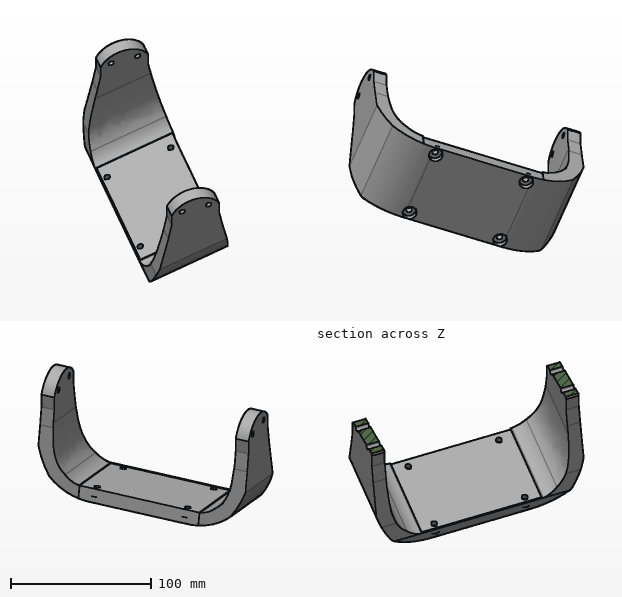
import math

import cadquery as cq

WIDTH = 160.0
HEIGHT = 100.96

ARM_THICKNESS = 10.0
HEAD_RADIUS = 20.0
HEAD_HALF_WIDTH = 18.1
EAR_HOLE_DIAMETER = 4.0
EAR_HOLE_OFFSET_Y = 10.0
EAR_HOLE_Z = 10.0

NECK_END_Z = -1.8
SHOULDER_Z = -15.6
SHOULDER_HALF_WIDTH = 20.6
FLANK_ANGLE = 12.0
FRONT_FLANK_END_Z = -54.3

TILT = 15.4
BASE_LENGTH = 60.56
BASE_THICKNESS = 11.0
FRONT_BOTTOM_Y = -27.7
FRONT_BOTTOM_Z = HEAD_RADIUS - HEIGHT

OUTER_FLAT_HALF = 38.0
OUTER_CORNER_RADIUS = 46.4
OUTER_JOINT_X = 69.8
OUTER_MID = (75.8, 22.9)
OUTER_ARM_START = 34.0

INNER_FLAT_HALF = 47.3
INNER_MID = (53.4, 13.2)
INNER_JOINT = (58.0, 16.7)
INNER_CURVE_POINTS = [(64.7, 24.4), (68.1, 34.0)]
INNER_ARM_START = 54.0

SEAT_HALF_WIDTH = 46.3
SEAT_FRONT_LIP = 1.0
SEAT_DEPTH = 0.4

BASE_HOLE_DIAMETER = 4.2
BASE_HOLE_HALF_SPACING = 35.0
BASE_HOLE_MARGIN = 5.0
BASE_HOLE_PITCH = 50.0
COUNTERBORE_DIAMETER = 10.0
COUNTERBORE_DEPTH = 4.5

CLEARANCE = 20.0


def base_frame():
    """Plane across the front bottom edge: X across, Y up the base normal, normal toward the front."""
    tilt = math.radians(TILT)
    return cq.Plane(
        origin=(0, FRONT_BOTTOM_Y, FRONT_BOTTOM_Z),
        xDir=(1, 0, 0),
        normal=(0, -math.cos(tilt), -math.sin(tilt)),
    )


def side_point(along, up):
    """(Y, Z) of a point given along the base from its front edge and up its normal."""
    tilt = math.radians(TILT)
    y = FRONT_BOTTOM_Y + along * math.cos(tilt) - up * math.sin(tilt)
    z = FRONT_BOTTOM_Z + along * math.sin(tilt) + up * math.cos(tilt)
    return (y, z)


def side_outline():
    """Side silhouette extruded over the whole width."""
    head_z = math.sqrt(HEAD_RADIUS**2 - HEAD_HALF_WIDTH**2)
    slope = math.tan(math.radians(FLANK_ANGLE))
    front_flank_y = -SHOULDER_HALF_WIDTH - slope * (SHOULDER_Z - FRONT_FLANK_END_Z)
    return (
        cq.Workplane("YZ")
        .moveTo(-HEAD_HALF_WIDTH, head_z)
        .threePointArc((0, HEAD_RADIUS), (HEAD_HALF_WIDTH, head_z))
        .lineTo(HEAD_HALF_WIDTH, NECK_END_Z)
        .lineTo(SHOULDER_HALF_WIDTH, SHOULDER_Z)
        .lineTo(*side_point(BASE_LENGTH, 0))
        .lineTo(*side_point(0, 0))
        .lineTo(*side_point(0, BASE_THICKNESS))
        .lineTo(front_flank_y, FRONT_FLANK_END_Z)
        .lineTo(-SHOULDER_HALF_WIDTH, SHOULDER_Z)
        .lineTo(-HEAD_HALF_WIDTH, NECK_END_Z)
        .close()
        .extrude(WIDTH / 2, both=True)
    )


def mirrored(point):
    """The same section point on the -X side."""
    return (-point[0], point[1])


def u_section():
    """U section swept along the tilted base, longer than the part at both ends."""
    top = 2 * HEIGHT
    outer_half = WIDTH / 2
    inner_half = outer_half - ARM_THICKNESS
    reach = OUTER_JOINT_X - OUTER_FLAT_HALF
    joint_height = OUTER_CORNER_RADIUS - math.sqrt(OUTER_CORNER_RADIUS**2 - reach**2)
    outer_joint = (OUTER_JOINT_X, joint_height)
    outer_end = (outer_half, OUTER_ARM_START)
    inner_start = (INNER_FLAT_HALF, BASE_THICKNESS)
    inner_end = (inner_half, INNER_ARM_START)
    outer_flat = (OUTER_FLAT_HALF, 0)

    section = (
        cq.Workplane(base_frame())
        .moveTo(*mirrored(outer_flat))
        .lineTo(*outer_flat)
        .radiusArc(outer_joint, -OUTER_CORNER_RADIUS)
        .threePointArc(OUTER_MID, outer_end)
        .lineTo(outer_half, top)
        .lineTo(inner_half, top)
        .lineTo(*inner_end)
        .spline([*reversed(INNER_CURVE_POINTS), INNER_JOINT], includeCurrent=True)
        .threePointArc(INNER_MID, inner_start)
        .lineTo(*mirrored(inner_start))
        .threePointArc(mirrored(INNER_MID), mirrored(INNER_JOINT))
        .spline([mirrored(p) for p in INNER_CURVE_POINTS] + [mirrored(inner_end)], includeCurrent=True)
        .lineTo(-inner_half, top)
        .lineTo(-outer_half, top)
        .lineTo(*mirrored(outer_end))
        .threePointArc(mirrored(OUTER_MID), mirrored(outer_joint))
        .radiusArc(mirrored(outer_flat), -OUTER_CORNER_RADIUS)
        .close()
    )
    return section.extrude(HEIGHT, both=True)


def ear_holes():
    """Two holes through each arm head, along X."""
    return (
        cq.Workplane("YZ")
        .pushPoints([(-EAR_HOLE_OFFSET_Y, EAR_HOLE_Z), (EAR_HOLE_OFFSET_Y, EAR_HOLE_Z)])
        .circle(EAR_HOLE_DIAMETER / 2)
        .extrude(WIDTH, both=True)
    )


def underside_plane():
    """Plane on the base underside: X across, Y along the base from its front edge."""
    return base_frame().rotated((-90, 0, 0))


def seat():
    """Shallow rectangular seat in the base top."""
    length = BASE_LENGTH + CLEARANCE - SEAT_FRONT_LIP
    return (
        cq.Workplane(underside_plane())
        .workplane(offset=BASE_THICKNESS - SEAT_DEPTH)
        .center(0, SEAT_FRONT_LIP + length / 2)
        .rect(2 * SEAT_HALF_WIDTH, length)
        .extrude(CLEARANCE)
    )


def back_trim():
    """Block that squares the back of the base between the arms, where the flanks would overhang it."""
    return (
        cq.Workplane(underside_plane())
        .center(0, BASE_LENGTH + CLEARANCE / 2)
        .rect(2 * SEAT_HALF_WIDTH, CLEARANCE)
        .extrude(BASE_THICKNESS + CLEARANCE)
    )


def base_holes(diameter, depth):
    """Four round cutters that rise from the base underside."""
    return (
        cq.Workplane(underside_plane())
        .center(0, BASE_HOLE_MARGIN + BASE_HOLE_PITCH / 2)
        .rect(2 * BASE_HOLE_HALF_SPACING, BASE_HOLE_PITCH, forConstruction=True)
        .vertices()
        .circle(diameter / 2)
        .extrude(depth)
    )


bracket = side_outline().intersect(u_section())
bracket = bracket.cut(ear_holes())
bracket = bracket.cut(seat())
bracket = bracket.cut(back_trim())
bracket = bracket.cut(base_holes(BASE_HOLE_DIAMETER, BASE_THICKNESS))
bracket = bracket.cut(base_holes(COUNTERBORE_DIAMETER, COUNTERBORE_DEPTH))
result = bracket